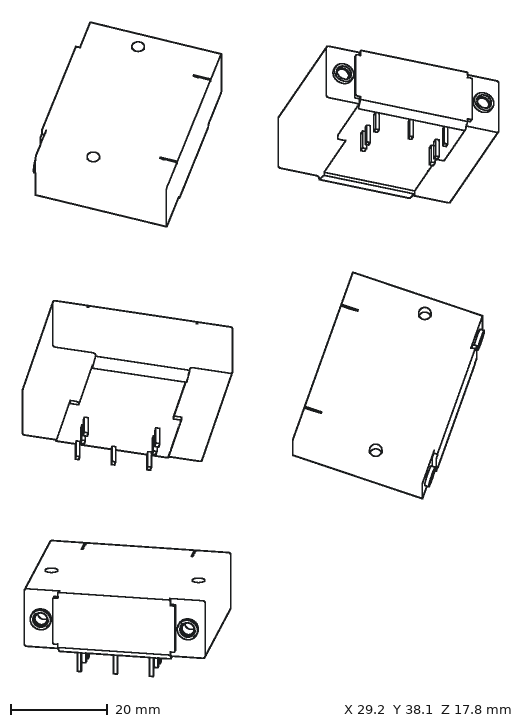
import cadquery as cq
import math


length = 29.25
width = 38.1
case_height = 13.6
case_width = 23.62
front_chamfer = 1.4
case_edge_radius = 0.25

flange_setback = 0.88
flange_height = 12.75
flange_radius = 0.55
flange_bottom = case_height - flange_height
mount_hole_x = 12.3
mount_hole_diameter = 2.6
mount_hole_depth = 3.8
fixing_y = 15.45

tab_span = 25.68
tab_height = 10.2
tab_radius = 0.25

boss_diameter = 4.25
boss_counterbore_diameter = 3.15
boss_counterbore_depth = 0.75
boss_bore_diameter = 2.6
boss_bore_depth = 3.8

undercut_start = 13.6
undercut_radius = 0.57

foot_start = 26.3
foot_drop = 0.75
foot_width = 20.0

slot_width = 0.25
slot_depth = 0.4
slot_start = 25.53
slot_floor_start = 27.45

pin_length = 4.15
pin_spacing = 7.6
front_pin_x, middle_pin_x, rear_pin_x = 1.95, 7.05, 9.52
small_pin = (1.03, 0.75)
large_pin = (1.15, 0.88)

sides = (-1, 1)
flange_mid_z = flange_bottom + flange_height / 2


def make_case():
    case = cq.Workplane("XY").box(length, case_width, case_height, centered=(False, True, False))
    case = case.edges("<X and <Z").chamfer(front_chamfer)
    return case.edges("|X").fillet(case_edge_radius)


def make_flanges():
    """One rounded slab; the case passes through its middle."""
    slab_length = length - flange_setback
    slab = cq.Workplane("XY").box(slab_length, width, flange_height, centered=(False, True, False))
    return slab.edges("|X").fillet(flange_radius).translate((flange_setback, 0, flange_bottom))


def make_front_tabs():
    plate = cq.Workplane("XY").box(flange_setback, tab_span, tab_height, centered=(False, True, True))
    return plate.edges("|X").fillet(tab_radius).translate((0, 0, flange_mid_z))


def front_cylinders(diameter, depth):
    """A cylinder at each boss axis, running back from the front face."""
    centres = [(side * fixing_y, flange_mid_z) for side in sides]
    return cq.Workplane("YZ").pushPoints(centres).circle(diameter / 2).extrude(depth)


def make_mount_holes():
    centres = [(mount_hole_x, side * fixing_y) for side in sides]
    top = cq.Workplane("XY", origin=(0, 0, case_height))
    return top.pushPoints(centres).circle(mount_hole_diameter / 2).extrude(-mount_hole_depth)


def make_undercut():
    """Waste along the +Y lower case edge, narrowing it to the foot width with a concave radius on top."""
    outer_y = case_width / 2
    inner_y = foot_width / 2
    arc_end_y = inner_y + undercut_radius
    arc_offset = undercut_radius * (1 - math.sqrt(0.5))
    return (
        cq.Workplane("YZ", origin=(undercut_start, 0, 0))
        .moveTo(outer_y, 0)
        .lineTo(inner_y, 0)
        .lineTo(inner_y, flange_bottom - undercut_radius)
        .threePointArc((inner_y + arc_offset, flange_bottom - arc_offset), (arc_end_y, flange_bottom))
        .lineTo(outer_y, flange_bottom)
        .close()
        .extrude(length - undercut_start)
    )


def make_slot():
    """Shallow slot just inside the +Y case edge, ramping down and open at the rear."""
    floor_z = case_height - slot_depth
    outer_y = case_width / 2 - case_edge_radius / 2
    return (
        cq.Workplane("XZ", origin=(0, outer_y, 0))
        .moveTo(slot_start, case_height)
        .lineTo(slot_floor_start, floor_z)
        .lineTo(length, floor_z)
        .lineTo(length, case_height)
        .close()
        .extrude(slot_width)
    )


def make_foot():
    return (
        cq.Workplane("XZ")
        .polyline([(foot_start, 0), (foot_start, -foot_drop), (length, 0)])
        .close()
        .extrude(foot_width / 2, both=True)
    )


def make_pins(x, rows, section):
    """Pins hanging below the case at one X station, at multiples of the pin spacing in Y."""
    centres = [(x, row * pin_spacing) for row in rows]
    return cq.Workplane("XY").pushPoints(centres).rect(*section).extrude(-pin_length)


result = make_case().union(make_flanges()).union(make_front_tabs())
result = result.union(front_cylinders(boss_diameter, flange_setback))

result = result.cut(front_cylinders(boss_counterbore_diameter, boss_counterbore_depth))
result = result.cut(front_cylinders(boss_bore_diameter, boss_bore_depth))
result = result.cut(make_mount_holes())

for edge_cut in (make_undercut(), make_slot()):
    result = result.cut(edge_cut).cut(edge_cut.mirror("XZ"))

result = result.union(make_foot())
result = result.union(make_pins(front_pin_x, (-1, 0, 1), small_pin))
result = result.union(make_pins(middle_pin_x, sides, small_pin))
result = result.union(make_pins(rear_pin_x, sides, large_pin))